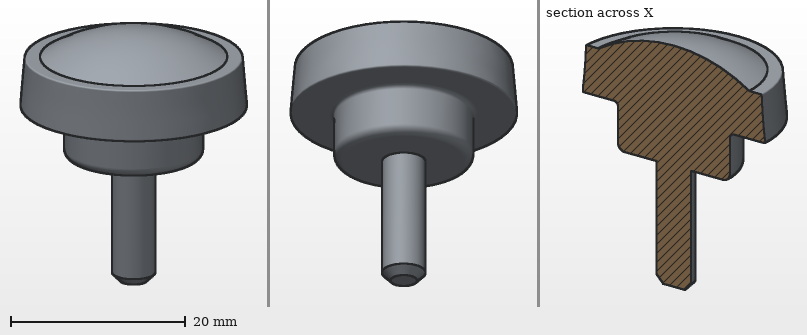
import cadquery as cq

total_height = 30.0
hub_bottom = 15.0
cap_bottom = 21.0
cap_top = 27.0

stud_radius = 5.0 / 2
hub_radius = 16.0 / 2
cap_bottom_radius = 13.02
cap_top_radius = 12.5
dome_radius = 10.75

tip_chamfer = 1.0
hub_edge_fillet = 1.02
hub_root_fillet = 0.5
cap_edge_fillet = 0.2
match_tolerance = 0.003

dome_height = total_height - cap_top
sphere_radius = (dome_radius**2 + dome_height**2) / (2 * dome_height)
dome_mid_radius = dome_radius / 2
sphere_center_z = total_height - sphere_radius
dome_mid_z = sphere_center_z + (sphere_radius**2 - dome_mid_radius**2) ** 0.5


def make_stud():
    stud = cq.Workplane("XY").circle(stud_radius).extrude(hub_bottom)
    return stud.faces("<Z").chamfer(tip_chamfer)


def fillet_circle(body, radius, height, fillet_radius):
    """Round the circular edge of the given radius at the given height."""

    def is_target(edge):
        return (
            edge.geomType() == "CIRCLE"
            and abs(edge.radius() - radius) < match_tolerance
            and abs(edge.Center().z - height) < match_tolerance
        )

    return body.newObject(body.edges().filter(is_target).vals()).fillet(fillet_radius)


def make_head():
    """Revolve the hub, tapered cap and domed top as one profile."""
    profile = (
        cq.Workplane("XZ")
        .moveTo(0, hub_bottom)
        .lineTo(hub_radius, hub_bottom)
        .lineTo(hub_radius, cap_bottom)
        .lineTo(cap_bottom_radius, cap_bottom)
        .lineTo(cap_top_radius, cap_top)
        .lineTo(dome_radius, cap_top)
        .threePointArc((dome_mid_radius, dome_mid_z), (0, total_height))
        .close()
    )
    head = profile.revolve(360, (0, 0, 0), (0, 1, 0))
    head = fillet_circle(head, hub_radius, hub_bottom, hub_edge_fillet)
    head = fillet_circle(head, hub_radius, cap_bottom, hub_root_fillet)
    head = fillet_circle(head, cap_bottom_radius, cap_bottom, cap_edge_fillet)
    head = fillet_circle(head, cap_top_radius, cap_top, cap_edge_fillet)
    return head


result = make_stud().union(make_head())